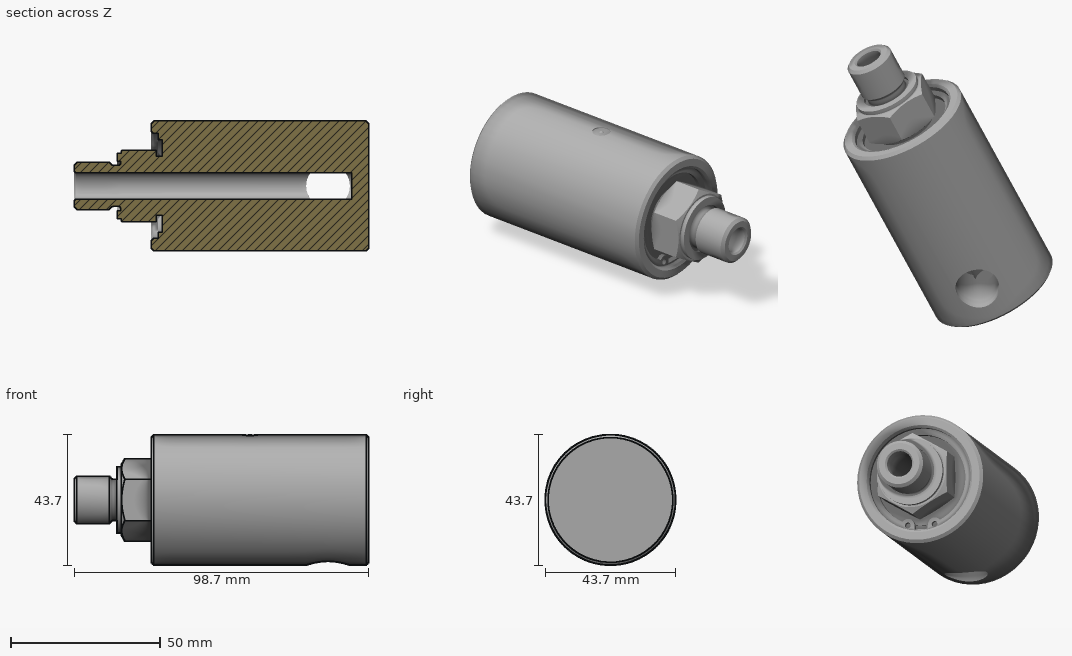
import cadquery as cq
import math


total_length = 98.7
housing_diameter = 43.7
housing_front = 25.8
housing_chamfer = 1.0

mouth_diameter = 36.6
ring_outer_diameter = 35.1
ring_inner_diameter = 30.7
floor_diameter = 30.4
ring_depth = 2.3
ring_thickness = 1.5
ring_gap = 4.5
gap_reach = 16.8
gap_extra_depth = 0.5
lug_radius = 2.3
lug_hole_diameter = 2.0
lug_side_offset = 4.6
lug_drop = 15.3

thread_diameter = 16.0
thread_chamfer = 1.0
thread_end = 11.75
relief_diameter = 13.9
relief_fillet = 0.6
flange_start = 14.3
flange_diameter = 22.2
flange_recess_diameter = 16.5
flange_recess_depth = 1.2
hex_start = 15.8
hex_end = 27.6
hex_sides = 6
hex_across_flats = 24.0
hex_face_diameter = 23.5
hex_chamfer_angle = 30.0
shaft_diameter = 19.9
bore_diameter = 8.7
bore_mouth_diameter = 9.9

port_x = 85.0
port_diameter = 14.6
bore_end = 92.8

vent_x = 58.9
vent_diameter = 6.0
vent_depth = 0.4
vent_pin_diameter = 2.0

housing_radius = housing_diameter / 2
ring_face = housing_front + ring_depth
recess_floor = ring_face + ring_thickness


def turned(profile):
    """Solid of revolution about X from (x, radius) points; closed along the axis."""
    points = [(profile[0][0], 0)] + profile + [(profile[-1][0], 0)]
    return cq.Workplane("XY").polyline(points).close().revolve(360, (0, 0, 0), (1, 0, 0))


def disc(x, diameter, length, y=0.0, z=0.0):
    """Cylinder along X starting at x."""
    return cq.Workplane("YZ", origin=(x, y, z)).circle(diameter / 2).extrude(length)


def make_housing():
    housing = disc(housing_front, housing_diameter, total_length - housing_front)
    housing = housing.faces("<X or >X").chamfer(housing_chamfer)
    mouth_chamfer = (mouth_diameter - ring_outer_diameter) / 2
    recess = turned([
        (housing_front, mouth_diameter / 2),
        (housing_front + mouth_chamfer, ring_outer_diameter / 2),
        (recess_floor, ring_outer_diameter / 2),
    ])
    return housing.cut(recess)


def make_retaining_ring():
    ring = disc(ring_face, ring_outer_diameter, ring_thickness)
    ring = ring.cut(disc(ring_face, ring_inner_diameter, ring_thickness))
    for y in (-lug_side_offset, lug_side_offset):
        ring = ring.union(disc(ring_face, 2 * lug_radius, ring_thickness, y, -lug_drop))
        ring = ring.cut(disc(ring_face, lug_hole_diameter, ring_thickness, y, -lug_drop))
    return ring


def make_ring_gap():
    """Opening between the lugs, sunk a little below the floor inside the ring."""
    depth = ring_thickness + gap_extra_depth
    gap = cq.Workplane("XY").box(depth, ring_gap, gap_reach, centered=(False, True, False))
    gap = gap.translate((ring_face, 0, -gap_reach))
    return gap.cut(disc(ring_face, floor_diameter, depth))


def make_hexagon():
    """Hexagon with corners at top and bottom, both ends chamfered."""
    corner_diameter = hex_across_flats / math.cos(math.pi / hex_sides)
    length = hex_end - hex_start
    prism = cq.Workplane("YZ", origin=(hex_start, 0, 0)).polygon(hex_sides, corner_diameter).extrude(length)
    prism = prism.rotate((0, 0, 0), (1, 0, 0), 90)
    chamfer_length = (corner_diameter - hex_face_diameter) / 2 * math.tan(math.radians(hex_chamfer_angle))
    envelope = turned([
        (hex_start, hex_face_diameter / 2),
        (hex_start + chamfer_length, corner_diameter / 2),
        (hex_end - chamfer_length, corner_diameter / 2),
        (hex_end, hex_face_diameter / 2),
    ])
    return prism.intersect(envelope)


def make_rotor():
    thread_radius = thread_diameter / 2
    relief_radius = relief_diameter / 2
    relief_start = thread_end + thread_radius - relief_radius
    spindle = turned([
        (0, thread_radius - thread_chamfer),
        (thread_chamfer, thread_radius),
        (thread_end, thread_radius),
        (relief_start, relief_radius),
        (flange_start + flange_recess_depth, relief_radius),
        (flange_start + flange_recess_depth, flange_recess_diameter / 2),
        (flange_start, flange_recess_diameter / 2),
        (flange_start, flange_diameter / 2),
        (hex_start, flange_diameter / 2),
        (hex_start, shaft_diameter / 2),
        (recess_floor, shaft_diameter / 2),
    ])
    relief_edges = spindle.edges("%CIRCLE").filter(lambda edge: math.isclose(edge.radius(), relief_radius))
    return relief_edges.fillet(relief_fillet).union(make_hexagon())


def make_bore():
    """Axial passage from the rotor tip to just past the port."""
    mouth_radius = bore_mouth_diameter / 2
    bore_radius = bore_diameter / 2
    return turned([(0, mouth_radius), (mouth_radius - bore_radius, bore_radius), (bore_end, bore_radius)])


def make_port():
    """Radial port from the underside up to the axis, where it meets the bore."""
    port = cq.Workplane("XY", origin=(port_x, 0, -housing_radius))
    return port.circle(port_diameter / 2).extrude(housing_radius)


def add_vent(body):
    """Shallow recess with a domed pin that rises to the housing surface."""
    floor = housing_radius - vent_depth
    recess = cq.Workplane("XY", origin=(vent_x, 0, floor)).circle(vent_diameter / 2).extrude(2 * vent_depth)
    pin_radius = vent_pin_diameter / 2
    pin = cq.Workplane("XY", origin=(vent_x, 0, housing_radius - pin_radius)).sphere(pin_radius)
    return body.cut(recess).union(pin)


result = make_housing().union(make_retaining_ring()).cut(make_ring_gap()).union(make_rotor())
result = add_vent(result.cut(make_bore()).cut(make_port()))